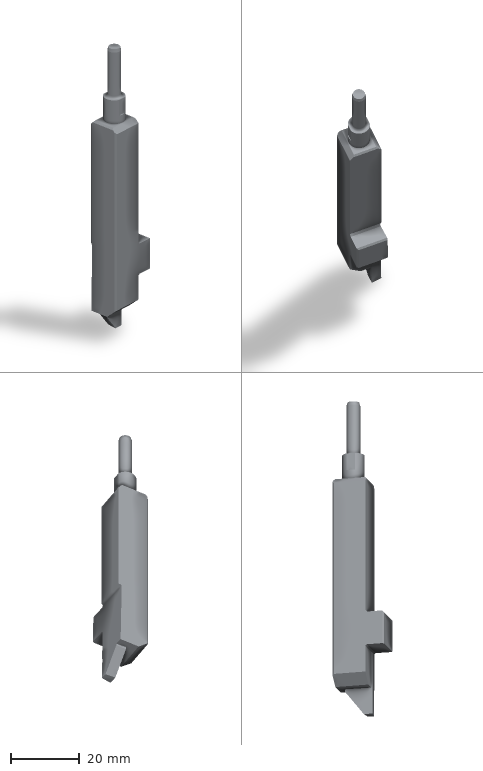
import cadquery as cq
import math


shank_side = 10.0
shank_length = 62.3
edge_chamfer = 0.5
top_side_chamfer_width = 1.5
top_side_chamfer_height = 1.6
bottom_chamfer_width = 3.4
bottom_chamfer_height = 3.0
half_side = shank_side / 2

arm_reach = 5.5
arm_top = 21.1
arm_bottom = 11.2
arm_root_top_chamfer = 0.6
arm_root_bottom_chamfer = 0.4
arm_end = half_side + arm_reach

collar_diameter = 6.5
collar_height = 7.7
collar_flat_width = 6.0
collar_flat_height = 5.1
stem_diameter = 4.0
stem_height = 16.0
stem_root_radius = 0.8
stem_tip_diameter = 3.5
stem_tip_height = 1.0

seat_lean_y = math.tan(math.radians(2))
seat_lean_z = math.tan(math.radians(1))
seat_depth = 0.36
seat_top = 21.5
seat_step_angle = 45.0
seat_cut_height = 6.0
stud_y = 1.07
stud_z = 4.75
stud_diameter = 6.8

insert_half_width = 3.8
insert_top = 12.4
insert_bottom = -12.53
insert_top_width = 1.7
insert_bottom_width = 1.9
insert_shoulder_upper = 5.6
insert_shoulder_lower = -5.3
insert_thickness = 3.15
insert_relief = 6.0

seat_plane = cq.Plane(
    origin=(seat_depth - half_side, stud_y, stud_z),
    xDir=(seat_lean_y, -1, 0),
    normal=(-1, -seat_lean_y, seat_lean_z),
)


def make_shank():
    """Square bar with chamfered -Y edges, sloped top edges and a bevelled lower +X corner."""
    bar = cq.Workplane("XY").rect(shank_side, shank_side).extrude(shank_length)
    bar = bar.edges("|Z and <Y").chamfer(edge_chamfer)
    slope_x = (
        cq.Workplane("XZ")
        .moveTo(-half_side, 0)
        .lineTo(half_side - bottom_chamfer_width, 0)
        .lineTo(half_side, bottom_chamfer_height)
        .lineTo(half_side, shank_length - top_side_chamfer_height)
        .lineTo(half_side - top_side_chamfer_width, shank_length)
        .lineTo(-half_side + top_side_chamfer_width, shank_length)
        .lineTo(-half_side, shank_length - top_side_chamfer_height)
        .close()
        .extrude(half_side, both=True)
    )
    bevel_y = (
        cq.Workplane("YZ")
        .moveTo(-half_side, 0)
        .lineTo(half_side, 0)
        .lineTo(half_side, shank_length - edge_chamfer)
        .lineTo(half_side - edge_chamfer, shank_length)
        .lineTo(-half_side + edge_chamfer, shank_length)
        .lineTo(-half_side, shank_length - edge_chamfer)
        .close()
        .extrude(half_side, both=True)
    )
    return bar.intersect(slope_x).intersect(bevel_y)


def make_arm():
    """Block reaching out in +Y, with small sloped roots where it leaves the shank."""
    block = (
        cq.Workplane("YZ")
        .moveTo(0, arm_bottom - arm_root_bottom_chamfer)
        .lineTo(half_side, arm_bottom - arm_root_bottom_chamfer)
        .lineTo(half_side + arm_root_bottom_chamfer, arm_bottom)
        .lineTo(arm_end, arm_bottom)
        .lineTo(arm_end, arm_top)
        .lineTo(half_side + arm_root_top_chamfer, arm_top)
        .lineTo(half_side, arm_top + arm_root_top_chamfer)
        .lineTo(0, arm_top + arm_root_top_chamfer)
        .close()
        .extrude(half_side, both=True)
    )
    return block.faces(">Y").edges("|Z or >Z").chamfer(edge_chamfer)


def make_collar():
    """Round collar with two flats, facing -X and +X, on its upper part."""
    base = cq.Workplane("XY").workplane(offset=shank_length)
    collar = base.circle(collar_diameter / 2).extrude(collar_height)
    flats = (
        cq.Workplane("XY")
        .workplane(offset=shank_length + collar_height - collar_flat_height)
        .rect(2 * collar_diameter, collar_diameter)
        .rect(collar_flat_width, collar_diameter)
        .extrude(collar_flat_height)
    )
    return collar.cut(flats)


def make_stem():
    """Turned stem with a filleted root and a tapered tip."""
    stem_radius = stem_diameter / 2
    stem_bottom = shank_length + collar_height
    stem_top = stem_bottom + stem_height
    return (
        cq.Workplane("XZ")
        .moveTo(0, stem_bottom)
        .lineTo(stem_radius + stem_root_radius, stem_bottom)
        .radiusArc((stem_radius, stem_bottom + stem_root_radius), stem_root_radius)
        .lineTo(stem_radius, stem_top - stem_tip_height)
        .lineTo(stem_tip_diameter / 2, stem_top)
        .lineTo(0, stem_top)
        .close()
        .revolve(360, (0, 0), (0, 1))
    )


def make_seat_cut():
    """Material in front of the tilted seat face; its upper end is a sloped step."""
    top = seat_top - stud_z
    size = 2 * shank_length
    return (
        cq.Workplane(seat_plane)
        .center(0, top - size / 2)
        .rect(size, size)
        .extrude(seat_cut_height, taper=-seat_step_angle)
    )


def make_insert_blank():
    """Slant-ended blade without its hole; all sides but the lower end flare inwards."""
    blade = (
        cq.Workplane(seat_plane)
        .moveTo(insert_half_width - insert_top_width, insert_top)
        .lineTo(insert_half_width, insert_top)
        .lineTo(insert_half_width, insert_shoulder_lower)
        .lineTo(-insert_half_width + insert_bottom_width, insert_bottom)
        .lineTo(-insert_half_width, insert_bottom)
        .lineTo(-insert_half_width, insert_shoulder_upper)
        .close()
        .extrude(-insert_thickness, taper=-insert_relief)
    )
    size = 2 * insert_top
    below_end = (
        cq.Workplane(seat_plane)
        .center(0, insert_bottom - size / 2)
        .rect(size, size)
        .extrude(-insert_thickness)
    )
    return blade.cut(below_end)


def make_stud():
    """Round stud from the pocket floor, ending flush with the insert."""
    return cq.Workplane(seat_plane).circle(stud_diameter / 2).extrude(-insert_thickness)


insert_blank = make_insert_blank()
stud = make_stud()

holder = make_shank().union(make_arm()).cut(make_seat_cut()).cut(insert_blank)
holder = holder.union(stud).union(make_collar()).union(make_stem())

insert = insert_blank.cut(stud)

result = cq.Compound.makeCompound([holder.val(), insert.val()])